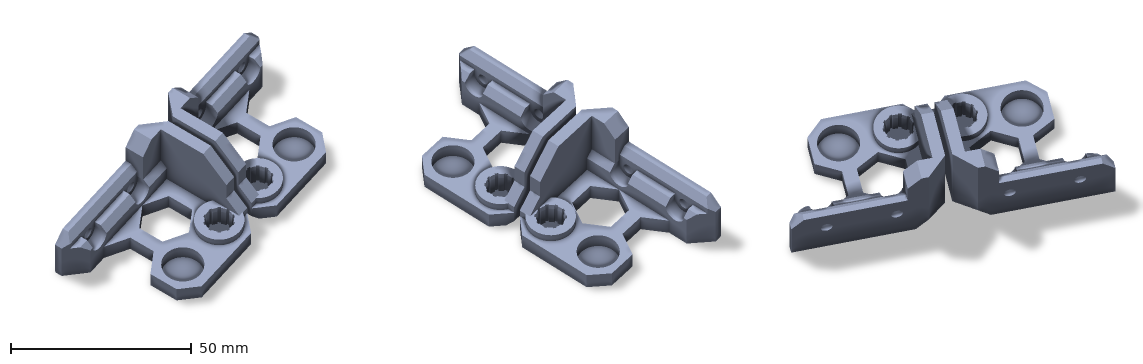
import cadquery as cq


bracket_width = 38.0
pair_length = 92.0
bracket_height = 26.0
bracket_gap = 2.0
inner_y = bracket_gap / 2
outer_y = pair_length / 2

plate_thickness = 5.1
plate_end_y = inner_y + 33.0
plate_corner = 5.0

hex_corners = 16.0
hex_x = 16.0
first_hex_y = inner_y + 15.0

socket_x = 29.3
socket_floor = 0.6
plain_socket_diameter = 12.0
plain_socket_y = inner_y + 25.0
collar_diameter = 14.0
collar_top = 7.5
collar_y = inner_y + 8.0
splined_socket_diameter = 7.9
notch_count = 10
notch_width = 1.0
notch_diameter = 8.9
lead_in_width = 0.2
lead_in_depth = 1.5

wall_thickness = 3.6
wall_end_x = bracket_width - plate_corner
wall_top_slope = 8.0
wall_step_x = 28.5
wall_step_z = 12.0

pillar_width = 6.0
pillar_end_y = inner_y + 12.0
pillar_bevel = 4.0
pillar_corner = 6.0

arm_width = 8.0
arm_ledge_z = 12.0
arm_ledge_bevel = arm_width - pillar_width
fin_width = 4.0
fin_top = 16.0
fin_bevel = 2.0
arm_tip_corner = 5.7
arm_tip_bevel = 3.6

screw_z = 10.0
screw_hole_diameter = 3.3
screw_head_width = 6.4
screw_ys = (inner_y + 15.0, inner_y + 35.0)

inner_edge_relief = 1.6
outer_edge_relief = 0.4
corner_relief_x = 7.1
corner_relief_y = 10.0


def plate():
    """Flat plate with two chamfered corners, before the cut-outs."""
    blank = cq.Workplane("XY").box(
        bracket_width, plate_end_y - inner_y, plate_thickness, centered=False
    )
    return blank.edges("|Z and >X").chamfer(plate_corner).translate((0, inner_y, 0))


def wall():
    """Upright wall with a sloped and stepped free end."""
    slope_end_z = bracket_height - wall_top_slope
    foot_z = wall_step_z - (wall_end_x - wall_step_x)
    return (
        cq.Workplane("XZ", origin=(0, inner_y, 0))
        .polyline([
            (0, 0),
            (0, bracket_height),
            (wall_step_x - wall_top_slope, bracket_height),
            (wall_step_x, slope_end_z),
            (wall_step_x, wall_step_z),
            (wall_end_x, foot_z),
            (wall_end_x, 0),
        ])
        .close()
        .extrude(-wall_thickness)
    )


def pillar():
    """Full-height pillar where the wall and the arm meet, bevelled at the top."""
    return (
        cq.Workplane("YZ")
        .polyline([
            (inner_y, 0),
            (inner_y, bracket_height),
            (pillar_end_y - pillar_bevel, bracket_height),
            (pillar_end_y, bracket_height - pillar_bevel),
            (pillar_end_y, 0),
        ])
        .close()
        .extrude(pillar_width)
    )


def arm():
    """Stepped screw arm: a thin fin on a thicker foot, with its tip cut back."""
    bar = (
        cq.Workplane("XZ", origin=(0, inner_y, 0))
        .polyline([
            (0, 0),
            (0, fin_top),
            (fin_width - fin_bevel, fin_top),
            (fin_width, fin_top - fin_bevel),
            (fin_width, arm_ledge_z),
            (arm_width - arm_ledge_bevel, arm_ledge_z),
            (arm_width, arm_ledge_z - arm_ledge_bevel),
            (arm_width, 0),
        ])
        .close()
        .extrude(inner_y - outer_y)
    )
    tip_side_cut = (
        cq.Workplane("XY")
        .polyline([
            (arm_width, outer_y),
            (arm_width - arm_tip_corner, outer_y),
            (arm_width, outer_y - arm_tip_corner),
        ])
        .close()
        .extrude(fin_top)
    )
    tip_top_cut = (
        cq.Workplane("YZ")
        .polyline([
            (outer_y, fin_top),
            (outer_y - arm_tip_bevel, fin_top),
            (outer_y, fin_top - arm_tip_bevel),
        ])
        .close()
        .extrude(arm_width)
    )
    return bar.cut(tip_side_cut).cut(tip_top_cut)


def screw_seats():
    """Screw holes through the arm, each with a round-bottomed head slot open to the ledge."""
    seat_depth = arm_width - fin_width
    slot_height = arm_ledge_z - screw_z
    holes = (
        cq.Workplane("YZ")
        .pushPoints([(y, screw_z) for y in screw_ys])
        .circle(screw_hole_diameter / 2)
        .extrude(arm_width)
    )
    slot_bottoms = (
        cq.Workplane("YZ", origin=(fin_width, 0, 0))
        .pushPoints([(y, screw_z) for y in screw_ys])
        .circle(screw_head_width / 2)
        .extrude(seat_depth)
    )
    slot_sides = (
        cq.Workplane("YZ", origin=(fin_width, 0, 0))
        .pushPoints([(y, screw_z + slot_height / 2) for y in screw_ys])
        .rect(screw_head_width, slot_height)
        .extrude(seat_depth)
    )
    return holes.union(slot_bottoms).union(slot_sides)


def hex_cutouts():
    """A whole hexagon inside the plate and one that cuts a half hexagon into its outer edge."""
    return (
        cq.Workplane("XY")
        .pushPoints([(hex_x, first_hex_y), (hex_x, plate_end_y)])
        .polygon(6, hex_corners)
        .extrude(plate_thickness)
    )


def collar():
    """Raised ring around the splined socket."""
    return cq.Workplane("XY").center(socket_x, collar_y).circle(collar_diameter / 2).extrude(collar_top)


def plain_socket():
    """Blind round socket near the plate's outer edge."""
    return (
        cq.Workplane("XY", origin=(socket_x, plain_socket_y, socket_floor))
        .circle(plain_socket_diameter / 2)
        .extrude(plate_thickness - socket_floor)
    )


def lead_in(bore_radius, mouth_z):
    """Cone that widens steeply from the bore up to its mouth."""
    cone = cq.Solid.makeCone(
        bore_radius, bore_radius + lead_in_width, lead_in_depth, cq.Vector(0, 0, mouth_z - lead_in_depth)
    )
    return cq.Workplane(cone)


def splined_socket():
    """Blind round socket with evenly spaced notches and a steep lead-in at its mouth."""
    depth = collar_top - socket_floor
    bore_radius = splined_socket_diameter / 2
    bore = cq.Workplane("XY").circle(bore_radius).extrude(depth)
    bore = bore.union(lead_in(bore_radius, depth))
    notch_pair = cq.Workplane("XY").rect(notch_width, notch_diameter).extrude(depth)
    for index in range(notch_count // 2):
        bore = bore.union(notch_pair.rotate((0, 0, 0), (0, 0, 1), index * 360 / notch_count))
    return bore.translate((socket_x, collar_y, socket_floor))


def vertical_corner_cut():
    """Wedge that takes off the upright corner between wall and arm."""
    return (
        cq.Workplane("XY")
        .polyline([(0, inner_y), (pillar_corner, inner_y), (0, inner_y + pillar_corner)])
        .close()
        .extrude(bracket_height)
    )


def bottom_relief():
    """Bevels along the two outer bottom edges and a larger slanted cut at their corner."""
    inner_edge = (
        cq.Workplane("YZ")
        .polyline([(inner_y, 0), (inner_y + inner_edge_relief, 0), (inner_y, inner_edge_relief)])
        .close()
        .extrude(bracket_width)
    )
    outer_edge = (
        cq.Workplane("XZ")
        .polyline([(0, 0), (outer_edge_relief, 0), (0, outer_edge_relief)])
        .close()
        .extrude(-outer_y)
    )
    corner = cq.Vector(0, inner_y, 0)
    along_x = cq.Vector(corner_relief_x, inner_y, 0)
    along_y = cq.Vector(0, inner_y + corner_relief_y, 0)
    apex = cq.Vector(0, inner_y, corner_relief_y)
    faces = [
        cq.Face.makeFromWires(cq.Wire.makePolygon(points, close=True))
        for points in (
            (corner, along_x, along_y),
            (corner, along_x, apex),
            (corner, along_y, apex),
            (along_x, along_y, apex),
        )
    ]
    pyramid = cq.Solid.makeSolid(cq.Shell.makeShell(faces))
    return inner_edge.union(outer_edge).union(cq.Workplane(pyramid))


def bracket():
    """One complete bracket on the +Y side."""
    base = plate().cut(hex_cutouts()).union(collar())
    body = base.union(wall()).union(pillar()).union(arm())
    body = body.cut(plain_socket()).cut(splined_socket()).cut(screw_seats())
    return body.cut(vertical_corner_cut()).cut(bottom_relief())


back_bracket = bracket()
front_bracket = back_bracket.mirror("XZ")

result = cq.Compound.makeCompound([back_bracket.val(), front_bracket.val()])